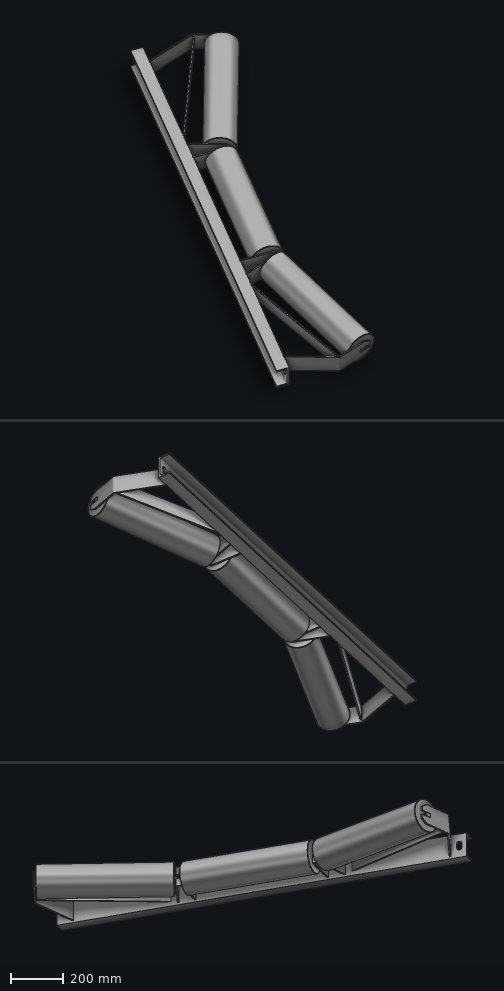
import cadquery as cq
import math


channel_length = 1700.0
channel_width = 100.0
channel_depth = 51.0
web_thickness = 9.0
flange_tip_thickness = 7.0
flange_root_thickness = 9.0
root_radius = 9.0
mount_slot_length = 36.0
mount_slot_width = 20.0
mount_slot_x = 820.0

roller_diameter = 134.0
roller_length = 532.0
rim_chamfer = 2.0
shaft_diameter = 22.0
shaft_flat_width = 15.0
tilt = 20.0
middle_axis_y = 166.0
side_center_x = 560.0
side_center_y = 266.0

plate_thickness = 6.0
plate_width = 80.0
roller_gap = 5.0
inner_top_y = 197.0
tip_rise = 36.0
bend_drop = 115.0
bend_radius = 15.0
tip_chamfer_length = 25.0
tip_chamfer_width = 15.0
brace_angle = 23.7
brace_foot_x = 383.0
brace_start_x = 853.0
brace_width = 60.0

half_roller = roller_length / 2
plate_inner_x = half_roller + roller_gap
plate_outer_x = plate_inner_x + plate_thickness
tilt_sin = math.sin(math.radians(tilt))
tilt_cos = math.cos(math.radians(tilt))
tilt_tan = tilt_sin / tilt_cos
shaft_radius = shaft_diameter / 2


def place_left(shape):
    """Move a shape from the roller's own frame to the left side roller's place."""
    return shape.rotate((0, 0, 0), (0, 0, 1), -tilt).translate((-side_center_x, side_center_y, 0))


def left_point(x, y):
    """A point of the left side roller's own frame, in the part's X and Y."""
    return (
        -side_center_x + x * tilt_cos + y * tilt_sin,
        side_center_y - x * tilt_sin + y * tilt_cos,
    )


def plate(outline, width):
    """Extrude an outline in X and Y to a width centred on Z = 0."""
    return cq.Workplane("XY", origin=(0, 0, -width / 2)).polyline(outline).close().extrude(width)


def mirrored(body):
    """The right-hand twin of a left-hand body."""
    return body.mirror("YZ")


def rod(radius, half_length):
    """Cylinder along X, centred on the origin."""
    return cq.Workplane("YZ", origin=(-half_length, 0, 0)).circle(radius).extrude(2 * half_length)


def make_roller():
    """Roller along X at the origin, its shaft ends flattened to sit in the bracket slots."""
    barrel = rod(roller_diameter / 2, half_roller).faces("<X or >X").chamfer(rim_chamfer)
    shaft = rod(shaft_radius, plate_outer_x)
    flats = cq.Workplane("XY").box(2 * plate_outer_x, shaft_diameter, shaft_flat_width)
    return barrel.union(shaft.intersect(flats))


def make_shaft_slot(end):
    """Cutter for one shaft end's slot, open upwards; end is -1 or 1 along the roller axis."""
    slot_depth = roller_diameter / 2
    start_x = end * half_roller
    run = end * 2 * (roller_gap + plate_thickness)
    seat = cq.Workplane("YZ", origin=(start_x, 0, 0)).circle(shaft_radius).extrude(run)
    throat = (
        cq.Workplane("YZ", origin=(start_x, 0, 0))
        .center(slot_depth / 2, 0)
        .rect(slot_depth, shaft_diameter)
        .extrude(run)
    )
    flats = cq.Workplane("XY").box(4 * plate_outer_x, 2 * roller_diameter, shaft_flat_width)
    return seat.union(throat).intersect(flats)


def make_channel():
    """Channel open towards -Y, its web carrying the brackets, with a slot at each end."""
    half_width = channel_width / 2
    tip_z = half_width - flange_tip_thickness
    root_z = half_width - flange_root_thickness
    web_inner_y = channel_depth - web_thickness
    profile = (
        cq.Workplane("YZ", origin=(-channel_length / 2, 0, 0))
        .polyline([
            (0, half_width),
            (channel_depth, half_width),
            (channel_depth, -half_width),
            (0, -half_width),
            (0, -tip_z),
            (web_inner_y, -root_z),
            (web_inner_y, root_z),
            (0, tip_z),
        ])
        .close()
    )
    body = profile.extrude(channel_length)
    root_edges = cq.selectors.BoxSelector(
        (-channel_length, web_inner_y - web_thickness / 2, -half_width),
        (channel_length, web_inner_y + web_thickness / 2, half_width),
    )
    body = body.edges("|X").edges(root_edges).fillet(root_radius)
    slots = (
        cq.Workplane("XZ")
        .pushPoints([(-mount_slot_x, 0), (mount_slot_x, 0)])
        .slot2D(mount_slot_length, mount_slot_width, 90)
        .extrude(-channel_depth)
    )
    return body.cut(slots)


def make_outer_bracket():
    """Left end plate: leans outwards from the web, then bends in along the roller end."""
    tip = left_point(-plate_outer_x, tip_rise)
    tip_inner = left_point(-plate_inner_x, tip_rise)
    bend = left_point(-plate_outer_x, -bend_drop)
    horizontal_thickness = plate_thickness / tilt_cos
    foot_x = bend[0] + (bend[1] - channel_depth) * tilt_tan
    outline = [
        (foot_x, channel_depth),
        bend,
        tip,
        tip_inner,
        (bend[0] + horizontal_thickness, bend[1]),
        (foot_x + horizontal_thickness, channel_depth),
    ]
    bracket = plate(outline, plate_width)
    bracket = bracket.edges("|Z and <X").fillet(bend_radius)
    half_width = plate_width / 2
    for side in (-1, 1):
        corner = (
            cq.Workplane("YZ", origin=(-plate_outer_x - plate_thickness, 0, 0))
            .polyline([
                (tip_rise - tip_chamfer_length, side * half_width),
                (tip_rise, side * half_width),
                (tip_rise, side * (half_width - tip_chamfer_width)),
            ])
            .close()
            .extrude(3 * plate_thickness)
        )
        bracket = bracket.cut(place_left(corner))
    return bracket.cut(place_left(make_shaft_slot(-1)))


def make_inner_bracket():
    """Left folded plate between two rollers: an upright leg, a flat top and a tilted leg."""
    def tilted_leg_x(offset, y):
        start = left_point(offset, 0)
        return start[0] + (y - start[1]) * tilt_tan

    inner_top = inner_top_y - plate_thickness
    outline = [
        (-plate_inner_x, channel_depth),
        (-plate_inner_x, inner_top_y),
        (tilted_leg_x(plate_inner_x, inner_top_y), inner_top_y),
        (tilted_leg_x(plate_inner_x, channel_depth), channel_depth),
        (tilted_leg_x(plate_outer_x, channel_depth), channel_depth),
        (tilted_leg_x(plate_outer_x, inner_top), inner_top),
        (-plate_outer_x, inner_top),
        (-plate_outer_x, channel_depth),
    ]
    middle_slot = make_shaft_slot(-1).translate((0, middle_axis_y, 0))
    side_slot = place_left(make_shaft_slot(1))
    return plate(outline, plate_width).cut(middle_slot).cut(side_slot)


def make_brace(bracket):
    """Left flat strut from the web up to the bend of the outer bracket."""
    slope = math.tan(math.radians(brace_angle))
    foot_half = plate_thickness / math.sin(math.radians(brace_angle)) / 2
    upper_foot_x = brace_foot_x - foot_half
    lower_foot_x = brace_foot_x + foot_half
    outline = [
        (-upper_foot_x, channel_depth),
        (-lower_foot_x, channel_depth),
        (-brace_start_x, channel_depth + (brace_start_x - lower_foot_x) * slope),
        (-brace_start_x, channel_depth + (brace_start_x - upper_foot_x) * slope),
    ]
    return plate(outline, brace_width).cut(bracket)


channel = make_channel()
middle_roller = make_roller().translate((0, middle_axis_y, 0))
left_roller = place_left(make_roller())
left_outer_bracket = make_outer_bracket()
left_inner_bracket = make_inner_bracket()
left_brace = make_brace(left_outer_bracket)

bodies = [channel, middle_roller]
for left_body in (left_roller, left_outer_bracket, left_inner_bracket, left_brace):
    bodies.append(left_body)
    bodies.append(mirrored(left_body))

result = cq.Compound.makeCompound([body.solids().val() for body in bodies])